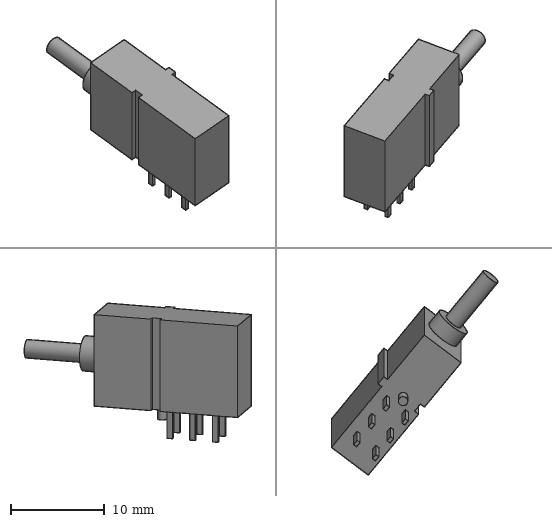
import cadquery as cq

HOUSING_LENGTH = 16.0
HOUSING_WIDTH = 5.0
HOUSING_HEIGHT = 10.1

TOTAL_LENGTH = 24.26
BUSHING_DIAMETER = 3.8
BUSHING_LENGTH = 1.81
SHAFT_DIAMETER = 2.0
SHAFT_LENGTH = TOTAL_LENGTH - HOUSING_LENGTH - BUSHING_LENGTH

PEG_DIAMETER = 1.0
PEG_LENGTH = 1.5

TOTAL_HEIGHT = 13.3
PIN_PITCH = 2.54
PIN_ROWS = 2
PINS_PER_ROW = 3
PIN_LENGTH = TOTAL_HEIGHT - HOUSING_HEIGHT
PIN_SIZE_X = 0.6
PIN_SIZE_Y = 0.4
FIRST_PIN_X = 8.1

KEY_X = FIRST_PIN_X - PIN_PITCH / 2
KEY_WIDTH = 1.0
RIB_DEPTH = 0.5
GROOVE_DEPTH = 0.55

HOUSING_BOTTOM = -HOUSING_HEIGHT / 2


def vertical_key(y_center, depth):
    """Full-height bar with the key width, centred on the given Y."""
    return cq.Workplane("XY").box(KEY_WIDTH, depth, HOUSING_HEIGHT).translate((KEY_X, y_center, 0))


def forward_cylinder(diameter, start_x, length):
    """Cylinder on the shaft axis, running from start_x towards -X."""
    return cq.Workplane("YZ", origin=(start_x, 0, 0)).circle(diameter / 2).extrude(-length)


def make_housing():
    """Housing block with its rib, groove, bushing, shaft and locating peg."""
    block = cq.Workplane("XY").box(HOUSING_LENGTH, HOUSING_WIDTH, HOUSING_HEIGHT)
    block = block.translate((HOUSING_LENGTH / 2, 0, 0))
    rib = vertical_key((HOUSING_WIDTH + RIB_DEPTH) / 2, RIB_DEPTH)
    groove = vertical_key(-(HOUSING_WIDTH - GROOVE_DEPTH) / 2, GROOVE_DEPTH)
    bushing = forward_cylinder(BUSHING_DIAMETER, 0, BUSHING_LENGTH)
    shaft = forward_cylinder(SHAFT_DIAMETER, -BUSHING_LENGTH, SHAFT_LENGTH)
    peg = cq.Workplane("XY", origin=(KEY_X, 0, HOUSING_BOTTOM)).circle(PEG_DIAMETER / 2).extrude(-PEG_LENGTH)
    return block.cut(groove).union(rib).union(bushing).union(shaft).union(peg)


def make_pin(x, y):
    """Rectangular terminal pin standing against the underside of the housing."""
    return cq.Workplane("XY", origin=(x, y, HOUSING_BOTTOM)).rect(PIN_SIZE_X, PIN_SIZE_Y).extrude(-PIN_LENGTH)


housing = make_housing()

pins = []
for row in range(PIN_ROWS):
    pin_y = (row - (PIN_ROWS - 1) / 2) * PIN_PITCH
    for column in range(PINS_PER_ROW):
        pin_x = FIRST_PIN_X + column * PIN_PITCH
        pins.append(make_pin(pin_x, pin_y))

result = cq.Compound.makeCompound([housing.val(), *[pin.val() for pin in pins]])